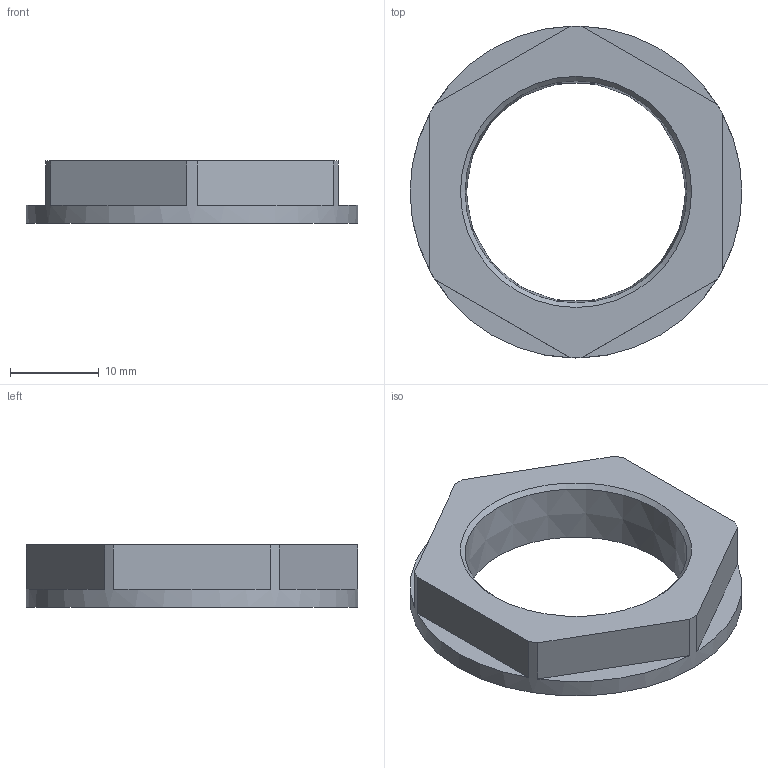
import cadquery as cq
import math

flange_diameter = 37.49
flange_thickness = 2.0
total_height = 7.01
across_flats = 33.02
bore_bottom_diameter = 24.7
bore_top_diameter = 25.1
mouth_chamfer = 0.5

hex_sides = 6
half_side_angle = 180.0 / hex_sides


def make_flange():
    """Round flange at the bottom of the nut."""
    return cq.Workplane("XY").circle(flange_diameter / 2).extrude(flange_thickness)


def make_hex_body():
    """Hexagon with flats facing +X and -X, its corners trimmed to the flange diameter."""
    across_corners = across_flats / math.cos(math.radians(half_side_angle))
    hexagon = (
        cq.Workplane("XY")
        .polygon(hex_sides, across_corners)
        .extrude(total_height)
        .rotate((0, 0, 0), (0, 0, 1), half_side_angle)
    )
    corner_trim = cq.Workplane("XY").circle(flange_diameter / 2).extrude(total_height)
    return hexagon.intersect(corner_trim)


def make_bore_cutter():
    """Slightly tapered bore, wider at the top, with a 45 degree chamfered mouth."""
    bottom_radius = bore_bottom_diameter / 2
    top_radius = bore_top_diameter / 2
    mouth_radius = top_radius + mouth_chamfer
    profile = (
        cq.Workplane("XZ")
        .lineTo(bottom_radius, 0)
        .lineTo(top_radius, total_height - mouth_chamfer)
        .lineTo(mouth_radius, total_height)
        .lineTo(0, total_height)
        .close()
    )
    return profile.revolve(360, (0, 0, 0), (0, 1, 0))


nut = make_flange().union(make_hex_body())
result = nut.cut(make_bore_cutter())